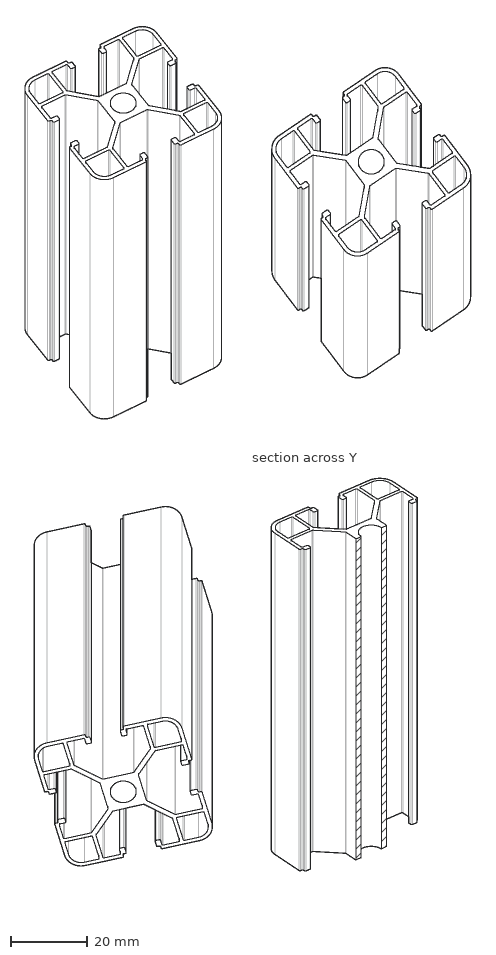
import cadquery as cq
import math

side = 40.0
length = 100.0

wall = 1.1
web = 1.0
strut_width = 1.4

corner_radius = 4.5
small_radius = 0.3

slot_opening = 10.2
slot_width = 20.8

lip_gap = 8.2
lip_thickness = 1.5
lip_top_depth = 1.0
lip_bottom_depth = 3.0

core_side = 10.4
bore_diameter = 6.8

outer_half = side / 2
inner_half = outer_half - wall
slot_half = slot_width / 2
opening_half = slot_opening / 2
core_half = core_side / 2


def bar(x_min, x_max, y_min, y_max):
    """Full-length rectangular bar covering the given range of X and Y."""
    x_center = (x_min + x_max) / 2
    y_center = (y_min + y_max) / 2
    return cq.Workplane("XY").center(x_center, y_center).rect(x_max - x_min, y_max - y_min).extrude(length)


def square_bar(half_width):
    """Full-length square bar around the axis."""
    return bar(-half_width, half_width, -half_width, half_width)


def slotted_shell():
    """Square tube with sharp corners, opened by a slot in the middle of each side."""
    shell = square_bar(outer_half).cut(square_bar(inner_half))
    shell = shell.cut(bar(-outer_half, outer_half, -opening_half, opening_half))
    return shell.cut(bar(-opening_half, opening_half, -outer_half, outer_half))


def corner_webs():
    """Two webs that close the +X +Y corner into a hollow cell."""
    end = outer_half - wall / 2
    web_along_y = bar(slot_half, slot_half + web, slot_half, end)
    web_along_x = bar(slot_half, end, slot_half, slot_half + web)
    return web_along_y.union(web_along_x)


def slot_lips():
    """Lips beside the +X +Y corner, one on each outer wall."""
    tip = lip_gap / 2
    root = tip + lip_thickness
    bottom = outer_half - lip_bottom_depth
    top = outer_half - lip_top_depth
    return bar(tip, root, bottom, top).union(bar(bottom, top, tip, root))


def diagonal_strut():
    """Strut from inside the core to the meeting point of the webs in the +X +Y corner."""
    start = core_half / 2
    end = slot_half + web / 2
    shift = strut_width / 2 * math.sqrt(0.5)
    corners = [
        (start - shift, start + shift),
        (start + shift, start - shift),
        (end + shift, end - shift),
        (end - shift, end + shift),
    ]
    return cq.Workplane("XY").polyline(corners).close().extrude(length)


def is_shell_corner(edge, half_width):
    """True for a lengthwise edge at a corner of the square with this half width."""
    center = edge.Center()
    corner_offset = math.hypot(abs(center.x) - half_width, abs(center.y) - half_width)
    return corner_offset < small_radius


def round_edges(body):
    """Concentric arcs on the shell corners and small fillets on every other lengthwise edge."""
    shell_arcs = [
        (outer_half, corner_radius),
        (inner_half, corner_radius - wall),
    ]
    small_edges = [
        edge
        for edge in body.edges("|Z").vals()
        if not any(is_shell_corner(edge, half_width) for half_width, _ in shell_arcs)
    ]
    body = body.newObject(small_edges).fillet(small_radius)
    for half_width, radius in shell_arcs:
        corner_edges = [
            edge for edge in body.edges("|Z").vals() if is_shell_corner(edge, half_width)
        ]
        body = body.newObject(corner_edges).fillet(radius)
    return body


profile = slotted_shell().union(square_bar(core_half))
corner = corner_webs().union(slot_lips()).union(diagonal_strut())
for quarter in range(4):
    profile = profile.union(corner.rotate((0, 0, 0), (0, 0, 1), 90 * quarter))
profile = round_edges(profile)

bore = cq.Workplane("XY").circle(bore_diameter / 2).extrude(length)
result = profile.cut(bore)